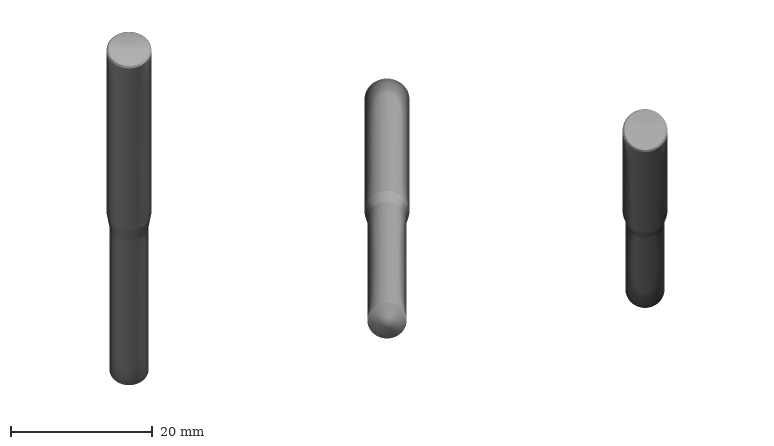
import cadquery as cq

total_length = 79.1
shank_radius = 3.2
shank_length = 39.55
shank_chamfer = 0.2
taper_length = 3.2
neck_length = 14.2
drill_radius = 2.8
tip_height = 1.35

shank_bottom = total_length - shank_length
neck_top = shank_bottom - taper_length
neck_bottom = neck_top - neck_length


def make_holder():
    """Chamfered shank that tapers down to a plain neck."""
    profile = [
        (0, neck_bottom),
        (-drill_radius, neck_bottom),
        (-drill_radius, neck_top),
        (-shank_radius, shank_bottom),
        (-shank_radius, total_length - shank_chamfer),
        (-shank_radius + shank_chamfer, total_length),
        (0, total_length),
    ]
    return cq.Workplane("YZ").polyline(profile).close().revolve(360, (0, 0), (0, 1))


def make_cutter():
    """Cylindrical cutting end with a conical tip, butted against the neck."""
    profile = [
        (0, 0),
        (-drill_radius, tip_height),
        (-drill_radius, neck_bottom),
        (0, neck_bottom),
    ]
    return cq.Workplane("XZ").polyline(profile).close().revolve(360, (0, 0), (0, 1))


holder = make_holder()
cutter = make_cutter()

result = cq.Compound.makeCompound([holder.val(), cutter.val()])